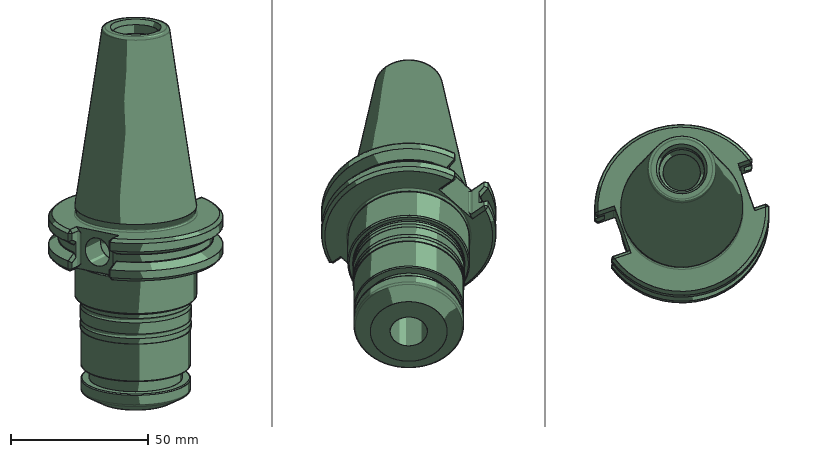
import cadquery as cq
import math

gauge_diameter = 44.45
taper_ratio = 7 / 24
taper_length = 68.4
total_length = 142.25
bottom_z = taper_length - total_length
taper_rim_radius = 1.2

flange_diameter = 63.55
flange_top_z = -3.0
flange_thickness = 15.9
flange_bottom_z = flange_top_z - flange_thickness
flange_chamfer = 1.2
groove_center_z = -11.05
groove_diameter = 56.25
groove_floor_width = 3.1
groove_corner_radius = 0.3
groove_flank_angle = 30
slot_width = 16.1
slot_floor_front = 25.0
slot_floor_back = 22.8
slot_root_radius = 0.8
dimple_diameter = 10.7
dimple_depth = 10.0
dimple_tip_angle = 118

upper_neck_diameter = 43.4
lower_neck_diameter = 43.9
lower_neck_bottom_z = -19.9
collar_top_z = -20.6
neck_root_radius = 0.7

collar_bottom_z = -34.6
collar_chamfer = 0.5
ring_diameter = 40.5
ring_bottom_z = -46.5
ring_flare = 0.2
ring_flare_height = 0.6
ring_groove_centers = (-37.5, -43.5)
ring_groove_width = 1.7
ring_groove_depth = 0.4
shank_diameter = 40.0
shank_edge_chamfer = 0.4
neck_diameter = 34.0
neck_top_z = -61.1
neck_bottom_z = -65.8
end_diameter = 28.0
end_cone_angle = 30
end_edge_radius = 1.0

bore_diameter = 13.53
counterbore_diameter = 16.5
counterbore_depth = 5.1
counterbore_chamfer_width = 1.0
counterbore_chamfer_height = 1.8
counterbore_cone_angle = 40

TOLERANCE = 1e-4
AXIS_ALIGNED = 0.99


def rise(radial_length, angle):
    """Axial length of a cone that spans radial_length at an angle from the horizontal."""
    return radial_length * math.tan(math.radians(angle))


def revolve(profile):
    """Closed (radius, z) profile turned about the Z axis."""
    return profile.close().revolve(360, (0, 0, 0), (0, 1, 0))


def make_taper():
    gauge_radius = gauge_diameter / 2
    top_radius = gauge_radius - taper_length * taper_ratio / 2
    neck_radius = upper_neck_diameter / 2
    profile = (
        cq.Workplane("XZ")
        .moveTo(0, taper_length)
        .lineTo(top_radius, taper_length)
        .lineTo(gauge_radius, 0)
        .lineTo(neck_radius, flange_top_z + neck_root_radius)
        .radiusArc((neck_radius + neck_root_radius, flange_top_z), -neck_root_radius)
        .lineTo(0, flange_top_z)
    )
    return revolve(profile).faces(">Z").edges().fillet(taper_rim_radius)


def make_slot(side, floor_distance):
    """Slot cutter, open outwards, on the side of the given sign of Y."""
    depth = flange_diameter / 2
    slot = cq.Workplane("XY").box(slot_width, depth, flange_thickness)
    flange_middle_z = flange_top_z - flange_thickness / 2
    return slot.translate((0, side * (floor_distance + depth / 2), flange_middle_z))


def make_flange():
    outer_radius = flange_diameter / 2
    floor_radius = groove_diameter / 2
    floor_half = groove_floor_width / 2
    mouth_half = floor_half + rise(outer_radius - floor_radius, groove_flank_angle)
    profile = (
        cq.Workplane("XZ")
        .moveTo(0, flange_top_z)
        .lineTo(outer_radius, flange_top_z)
        .lineTo(outer_radius, groove_center_z + mouth_half)
        .lineTo(floor_radius, groove_center_z + floor_half)
        .lineTo(floor_radius, groove_center_z - floor_half)
        .lineTo(outer_radius, groove_center_z - mouth_half)
        .lineTo(outer_radius, flange_bottom_z)
        .lineTo(0, flange_bottom_z)
    )
    flange = revolve(profile)
    flange = flange.cut(make_slot(-1, slot_floor_front))
    flange = flange.cut(make_slot(1, slot_floor_back))
    return finish_flange_edges(flange)


def is_slot_wall(face):
    return face.geomType() == "PLANE" and abs(face.normalAt().x) > AXIS_ALIGNED


def is_root_edge(edge):
    """True for the straight vertical edges where a slot wall meets the slot floor."""
    center = edge.Center()
    floor_distance = slot_floor_front if center.y < 0 else slot_floor_back
    return math.isclose(abs(center.y), floor_distance, abs_tol=TOLERANCE)


def is_groove_floor_end(edge):
    """True for the vertical edges where a slot wall meets the floor of the V-groove."""
    center = edge.Center()
    return math.isclose(math.hypot(center.x, center.y), groove_diameter / 2, abs_tol=TOLERANCE)


def is_arc_of_diameter(edge, diameter):
    return edge.geomType() == "CIRCLE" and math.isclose(edge.radius(), diameter / 2)


def is_rim_edge(edge):
    if not is_arc_of_diameter(edge, flange_diameter):
        return False
    z = edge.Center().z
    return any(math.isclose(z, end, abs_tol=TOLERANCE) for end in (flange_top_z, flange_bottom_z))


def finish_flange_edges(flange):
    """Chamfer the rims and slot walls, then round the slot roots and groove corners."""
    wall_edges = [edge for face in flange.faces().vals() if is_slot_wall(face) for edge in face.Edges()]
    sharp_edges = [edge for edge in wall_edges if not (is_root_edge(edge) or is_groove_floor_end(edge))]
    rim_edges = [edge for edge in flange.edges().vals() if is_rim_edge(edge)]
    flange = flange.newObject(sharp_edges + rim_edges).chamfer(flange_chamfer)

    root_edges = [edge for edge in flange.edges("|Z").vals() if is_root_edge(edge)]
    flange = flange.newObject(root_edges).fillet(slot_root_radius)

    arcs = flange.edges("%CIRCLE").vals()
    corner_edges = [arc for arc in arcs if is_arc_of_diameter(arc, groove_diameter)]
    return flange.newObject(corner_edges).fillet(groove_corner_radius)


def make_shank():
    collar_radius = gauge_diameter / 2
    lower_neck_radius = lower_neck_diameter / 2
    ring_radius = ring_diameter / 2
    shank_radius = shank_diameter / 2
    neck_radius = neck_diameter / 2
    end_radius = end_diameter / 2
    cone_top_z = bottom_z + rise(shank_radius - end_radius, end_cone_angle)
    profile = (
        cq.Workplane("XZ")
        .moveTo(0, flange_bottom_z)
        .lineTo(lower_neck_radius + neck_root_radius, flange_bottom_z)
        .radiusArc((lower_neck_radius, flange_bottom_z - neck_root_radius), -neck_root_radius)
        .lineTo(lower_neck_radius, lower_neck_bottom_z)
        .lineTo(collar_radius, collar_top_z)
        .lineTo(collar_radius, collar_bottom_z + collar_chamfer)
        .lineTo(collar_radius - collar_chamfer, collar_bottom_z)
        .lineTo(ring_radius + ring_flare, collar_bottom_z)
        .lineTo(ring_radius, collar_bottom_z - ring_flare_height)
    )
    for center_z in ring_groove_centers:
        profile = profile.lineTo(ring_radius, center_z + ring_groove_width / 2).threePointArc(
            (ring_radius - ring_groove_depth, center_z),
            (ring_radius, center_z - ring_groove_width / 2),
        )
    profile = (
        profile.lineTo(ring_radius, ring_bottom_z)
        .lineTo(shank_radius, ring_bottom_z)
        .lineTo(shank_radius, neck_top_z + shank_edge_chamfer)
        .lineTo(shank_radius - shank_edge_chamfer, neck_top_z)
        .lineTo(neck_radius, neck_top_z)
        .lineTo(neck_radius, neck_bottom_z)
        .lineTo(shank_radius - shank_edge_chamfer, neck_bottom_z)
        .lineTo(shank_radius, neck_bottom_z - shank_edge_chamfer)
        .lineTo(shank_radius, cone_top_z)
        .lineTo(end_radius, bottom_z)
        .lineTo(0, bottom_z)
    )
    shank = revolve(profile)
    circles = shank.edges("%CIRCLE").vals()
    cone_rim = [edge for edge in circles if math.isclose(edge.Center().z, cone_top_z, abs_tol=TOLERANCE)]
    return shank.newObject(cone_rim).fillet(end_edge_radius)


def make_bore():
    """Through bore with a chamfered counterbore and conical seat at the taper end."""
    bore_radius = bore_diameter / 2
    counterbore_radius = counterbore_diameter / 2
    seat_z = taper_length - counterbore_depth
    profile = (
        cq.Workplane("XZ")
        .moveTo(0, taper_length)
        .lineTo(counterbore_radius + counterbore_chamfer_width, taper_length)
        .lineTo(counterbore_radius, taper_length - counterbore_chamfer_height)
        .lineTo(counterbore_radius, seat_z)
        .lineTo(bore_radius, seat_z - rise(counterbore_radius - bore_radius, counterbore_cone_angle))
        .lineTo(bore_radius, bottom_z)
        .lineTo(0, bottom_z)
    )
    return revolve(profile)


def make_dimple():
    """Blind drilled hole with a conical tip in the floor of the -Y slot."""
    radius = dimple_diameter / 2
    tip_length = radius / math.tan(math.radians(dimple_tip_angle / 2))
    profile = (
        cq.Workplane("XY")
        .moveTo(0, -slot_floor_front)
        .lineTo(radius, -slot_floor_front)
        .lineTo(radius, -slot_floor_front + dimple_depth)
        .lineTo(0, -slot_floor_front + dimple_depth + tip_length)
    )
    return revolve(profile).translate((0, 0, groove_center_z))


body = make_taper().union(make_flange()).union(make_shank())
result = body.cut(make_bore()).cut(make_dimple())